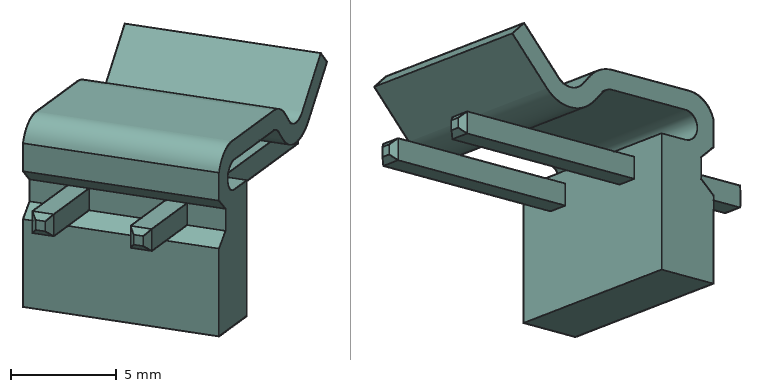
import cadquery as cq
import math


body_width = 10.16
body_depth = 3.2
body_height = 6.8

pin_pitch = 5.08
pin_count = 2
pin_size = 1.1
pin_length = 17.4
pin_front_reach = 3.6
pin_axis_z = 5.6
pin_tip_chamfer = 0.3

notch_depth = 0.75
notch_half_height = body_height - pin_axis_z

strip_thickness = 1.0
latch_top_z = 9.3
hook_round_depth = 1.5
hook_round_height = 1.1
valley_y = 8.8
valley_surface_z = 7.87
valley_inner_radius = 1.0
crest_outer_radius = 1.8
bend_angle = math.radians(46.75)
tip_top_z = 10.45


def on_circle(centre, radius, angle):
    """Point at an angle from straight up, turning towards +Y."""
    return (
        centre[0] + radius * math.sin(angle),
        centre[1] + radius * math.cos(angle),
    )


def make_body_and_latch():
    latch_underside_z = latch_top_z - strip_thickness
    slot_radius = (latch_underside_z - body_height) / 2
    slot_centre_y = strip_thickness + slot_radius
    slot_centre_z = body_height + slot_radius

    valley_outer_radius = valley_inner_radius + strip_thickness
    crest_inner_radius = crest_outer_radius - strip_thickness
    valley_centre = (valley_y, valley_surface_z + valley_inner_radius)

    bend_radii = crest_outer_radius + valley_inner_radius
    ramp_drop = latch_top_z - valley_surface_z - bend_radii * (1 - math.cos(bend_angle))
    ramp_run = ramp_drop / math.tan(bend_angle)
    crest_y = valley_y - bend_radii * math.sin(bend_angle) - ramp_run
    crest_centre = (crest_y, latch_top_z - crest_outer_radius)

    valley_exit = math.pi - bend_angle
    valley_entry = math.pi + bend_angle
    tip_start = on_circle(valley_centre, valley_inner_radius, valley_exit)
    tip_rise = tip_top_z - tip_start[1]
    tip_top = (tip_start[0] + tip_rise / math.tan(bend_angle), tip_top_z)
    tip_bottom = on_circle(tip_top, strip_thickness, valley_exit)

    hook_radius = (hook_round_depth**2 + hook_round_height**2) / (2 * hook_round_height)
    hook_end = (0, latch_top_z - hook_round_height)

    notch_floor_half = pin_size / 2

    profile = (
        cq.Workplane("YZ")
        .moveTo(0, 0)
        .lineTo(body_depth, 0)
        .lineTo(body_depth, body_height)
        .lineTo(slot_centre_y, body_height)
        .threePointArc((strip_thickness, slot_centre_z), (slot_centre_y, latch_underside_z))
        .lineTo(crest_y, latch_underside_z)
        .threePointArc(
            on_circle(crest_centre, crest_inner_radius, bend_angle / 2),
            on_circle(crest_centre, crest_inner_radius, bend_angle),
        )
        .lineTo(*on_circle(valley_centre, valley_outer_radius, valley_entry))
        .threePointArc(
            on_circle(valley_centre, valley_outer_radius, math.pi),
            on_circle(valley_centre, valley_outer_radius, valley_exit),
        )
        .lineTo(*tip_bottom)
        .lineTo(*tip_top)
        .lineTo(*tip_start)
        .threePointArc(
            on_circle(valley_centre, valley_inner_radius, math.pi),
            on_circle(valley_centre, valley_inner_radius, valley_entry),
        )
        .lineTo(*on_circle(crest_centre, crest_outer_radius, bend_angle))
        .threePointArc(
            on_circle(crest_centre, crest_outer_radius, bend_angle / 2),
            (crest_y, latch_top_z),
        )
        .lineTo(hook_round_depth, latch_top_z)
        .radiusArc(hook_end, -hook_radius)
        .lineTo(0, pin_axis_z + notch_half_height)
        .lineTo(notch_depth, pin_axis_z + notch_floor_half)
        .lineTo(notch_depth, pin_axis_z - notch_floor_half)
        .lineTo(0, pin_axis_z - notch_half_height)
        .close()
    )
    return profile.extrude(body_width / 2, both=True)


def make_pin(x):
    return (
        cq.Workplane("XY")
        .box(pin_size, pin_length, pin_size)
        .faces("<Y or >Y")
        .chamfer(pin_tip_chamfer)
        .translate((x, pin_length / 2 - pin_front_reach, pin_axis_z))
    )


result = make_body_and_latch()
for index in range(pin_count):
    pin_x = (index - (pin_count - 1) / 2) * pin_pitch
    result = result.union(make_pin(pin_x))